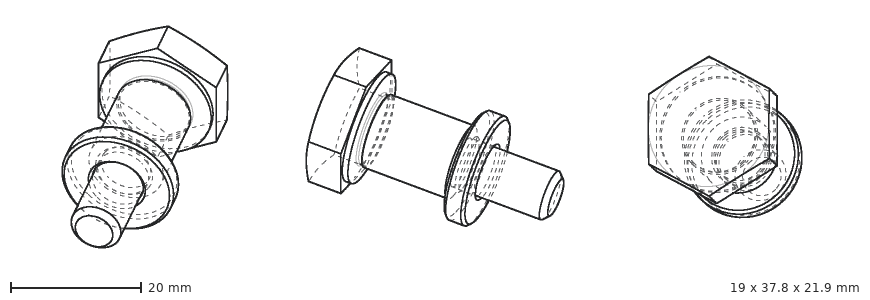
import cadquery as cq
import math

total_length = 37.8

shank_start = 16.0
shank_end = 30.0
flange_start = 31.0
head_start = 31.95

across_flats = 19.0
flange_radius = 18.0 / 2
relief_radius = 11.4 / 2
shank_radius = 12.0 / 2
pin_radius = 8.0 / 2
tip_chamfer = 1.0
relief_fillet = 0.3
head_chamfer_angle = 15.0

washer_start = 11.5
washer_thickness = 3.5
washer_radius = flange_radius
bore_radius = 8.2 / 2
washer_chamfer = 0.5


def revolve_about_y(profile):
    """Turn a closed half profile, drawn as (radius, Y), about the Y axis."""
    return profile.close().revolve(360, (0, 0, 0), (0, 1, 0))


def make_head():
    """Hexagon with corners at +Z and -Z, its top corners cut by a shallow cone."""
    head_height = total_length - head_start
    corner_radius = across_flats / math.sqrt(3)
    flat_radius = across_flats / 2
    corner_drop = (corner_radius - flat_radius) * math.tan(math.radians(head_chamfer_angle))
    hexagon = (
        cq.Workplane("XZ", origin=(0, head_start, 0))
        .transformed(rotate=(0, 0, 90))
        .polygon(6, 2 * corner_radius)
        .extrude(-head_height)
    )
    envelope = revolve_about_y(
        cq.Workplane("XY")
        .moveTo(0, head_start)
        .lineTo(corner_radius, head_start)
        .lineTo(corner_radius, total_length - corner_drop)
        .lineTo(flat_radius, total_length)
        .lineTo(0, total_length)
    )
    return hexagon.intersect(envelope)


def make_stem():
    """Turned part of the bolt: chamfered pin, shank, filleted relief groove and flange."""
    fillet_mid = relief_fillet * (1 - math.sqrt(0.5))
    return revolve_about_y(
        cq.Workplane("XY")
        .moveTo(0, 0)
        .lineTo(pin_radius - tip_chamfer, 0)
        .lineTo(pin_radius, tip_chamfer)
        .lineTo(pin_radius, shank_start)
        .lineTo(shank_radius, shank_start)
        .lineTo(shank_radius, shank_end)
        .lineTo(relief_radius, shank_end)
        .lineTo(relief_radius, flange_start - relief_fillet)
        .threePointArc(
            (relief_radius + fillet_mid, flange_start - fillet_mid),
            (relief_radius + relief_fillet, flange_start),
        )
        .lineTo(flange_radius, flange_start)
        .lineTo(flange_radius, head_start)
        .lineTo(0, head_start)
    )


def make_washer():
    """Loose ring around the pin, with chamfers on both ends of its rim and bore."""
    return (
        cq.Workplane("XZ", origin=(0, washer_start, 0))
        .circle(washer_radius)
        .circle(bore_radius)
        .extrude(-washer_thickness)
        .faces("<Y or >Y")
        .edges()
        .chamfer(washer_chamfer)
    )


bolt = make_stem().union(make_head())
washer = make_washer()

result = cq.Compound.makeCompound([bolt.val(), washer.val()])